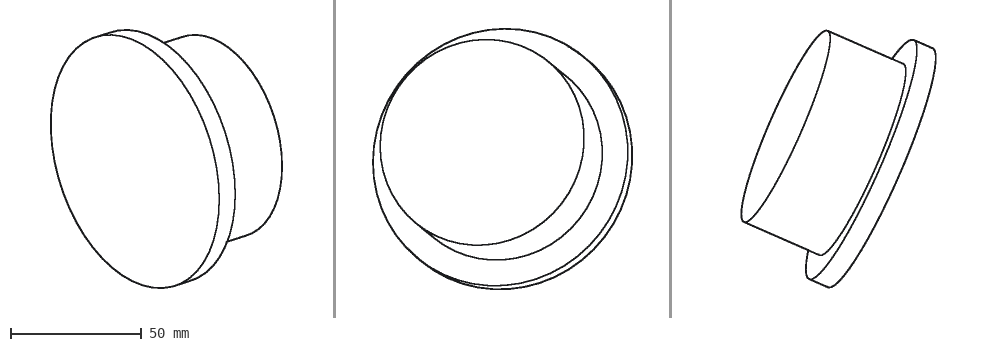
import cadquery as cq

flange_diameter = 100
flange_thickness = 8
body_diameter = 80
total_length = 40
body_length = total_length - flange_thickness

flange = cq.Workplane("XZ").circle(flange_diameter / 2).extrude(-flange_thickness)
body = (
    cq.Workplane("XZ", origin=(0, flange_thickness, 0))
    .circle(body_diameter / 2)
    .extrude(-body_length)
)

result = flange.union(body)